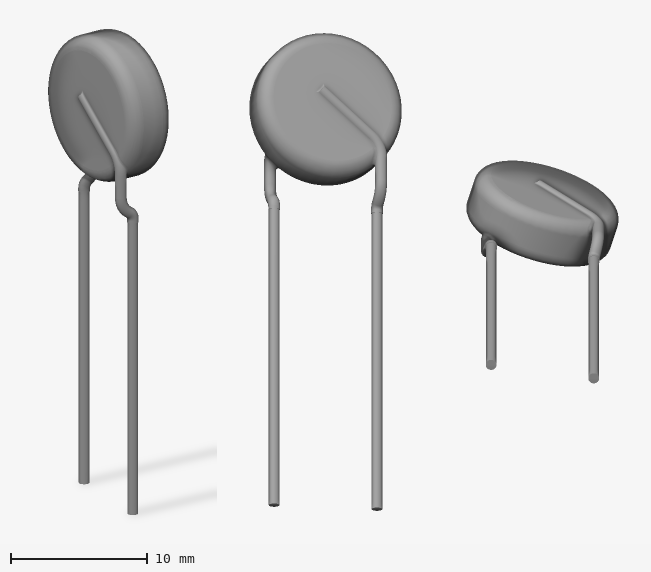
import cadquery as cq
import math

disc_diameter = 11.0
disc_thickness = 3.78
disc_edge_radius = 1.0

wire_diameter = 0.8
coating_diameter = 0.85
lead_spacing = 7.5
overall_height = 36.0
overall_depth = 4.2
bare_wire_offset = 0.58

offset_bend_angle = 60.0
upper_step_radius = 1.5
straight_length = 1.85
straight_bottom = -5.72
collar_length = 0.2
tail_bend_angle = 50.0
tail_bend_radius = 2.0
tail_length = 5.05
blend_radius = 0.18

lead_x = lead_spacing / 2
coated_y = (overall_depth - coating_diameter) / 2
lead_bottom = disc_diameter / 2 - overall_height

step_angle = math.radians(offset_bend_angle)
step_depth = coated_y - bare_wire_offset
lower_step_radius = step_depth / (1 - math.cos(step_angle)) - upper_step_radius
step_height = (upper_step_radius + lower_step_radius) * math.sin(step_angle)
step_bottom = straight_bottom - step_height
coating_bottom = step_bottom - collar_length


def make_disc():
    """Flat round body with rounded rims."""
    back_face = cq.Workplane("XZ", origin=(0, disc_thickness / 2, 0))
    disc = back_face.circle(disc_diameter / 2).extrude(disc_thickness)
    return disc.edges().fillet(disc_edge_radius)


def bend_edge(point_at, start_angle, end_angle):
    """Arc through the points that point_at gives between two bend angles."""
    angles = (start_angle, (start_angle + end_angle) / 2, end_angle)
    return cq.Edge.makeThreePointArc(*[point_at(angle) for angle in angles])


def lower_step_point(angle):
    """Point on the lower bend of the step, which starts vertical at the bottom."""
    shift = lower_step_radius * (1 - math.cos(angle))
    height = step_bottom + lower_step_radius * math.sin(angle)
    return cq.Vector(lead_x, -bare_wire_offset - shift, height)


def upper_step_point(angle):
    """Point on the upper bend of the step, which ends vertical at the top."""
    shift = upper_step_radius * (1 - math.cos(angle))
    height = straight_bottom - upper_step_radius * math.sin(angle)
    return cq.Vector(lead_x, -coated_y + shift, height)


def tail_bend_point(angle):
    """Point on the bend that turns the lead across the disc face."""
    shift = tail_bend_radius * (1 - math.cos(angle))
    height = straight_bottom + straight_length + tail_bend_radius * math.sin(angle)
    return cq.Vector(lead_x - shift, -coated_y, height)


def make_coating():
    """Coated stretch of the front lead, from its collar to the end of its tail."""
    tail_angle = math.radians(tail_bend_angle)
    tail_start = tail_bend_point(tail_angle)
    tail_run = cq.Vector(-math.sin(tail_angle), 0, math.cos(tail_angle)) * tail_length
    collar_start = cq.Vector(lead_x, -bare_wire_offset, coating_bottom)
    path = cq.Wire.assembleEdges([
        cq.Edge.makeLine(collar_start, lower_step_point(0)),
        bend_edge(lower_step_point, 0, step_angle),
        bend_edge(upper_step_point, step_angle, 0),
        cq.Edge.makeLine(upper_step_point(0), tail_bend_point(0)),
        bend_edge(tail_bend_point, 0, tail_angle),
        cq.Edge.makeLine(tail_start, tail_start + tail_run),
    ])
    profile = cq.Workplane("XY", origin=collar_start.toTuple()).circle(coating_diameter / 2)
    return profile.sweep(cq.Workplane(obj=path))


def make_bare_wire():
    """Straight uncoated stretch of the front lead."""
    start = (lead_x, -bare_wire_offset, lead_bottom)
    return cq.Workplane("XY", origin=start).circle(wire_diameter / 2).extrude(coating_bottom - lead_bottom)


def turned(shape):
    """The same shape on the other face of the disc."""
    return shape.rotate((0, 0, 0), (0, 0, 1), 180)


def lies_on_disc_face(edge):
    """True for an edge in the plane of either flat face of the disc."""
    return math.isclose(abs(edge.Center().y), disc_thickness / 2, abs_tol=3.6e-07)


disc = make_disc()
coating = make_coating()
joined = disc.union(coating).union(turned(coating))
tail_outlines = joined.edges("%LINE").filter(lies_on_disc_face)
body = tail_outlines.fillet(blend_radius)

bare_wire = make_bare_wire()
result = body.union(bare_wire).union(turned(bare_wire))